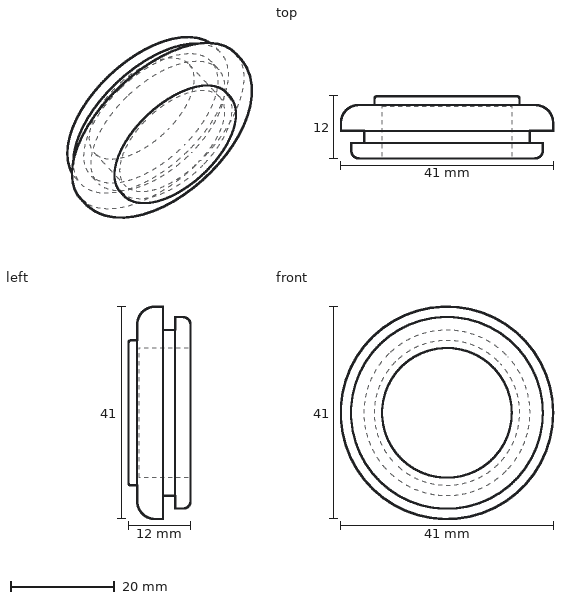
import cadquery as cq

total_depth = 12.0

lip_diameter = 37.0
lip_thickness = 3.0
lip_fillet = 1.5

groove_diameter = 32.0
groove_width = 2.35

flange_diameter = 41.0
flange_thickness = 5.0
flange_fillet = 3.5

boss_diameter = 28.0
boss_height = total_depth - lip_thickness - groove_width - flange_thickness
boss_fillet = 0.5

bore_diameter = 25.0
bore_depth = 10.0


def disc(diameter, front, thickness):
    """Solid disc about the Y axis, from y = front toward +Y."""
    return cq.Workplane("XZ", origin=(0, front, 0)).circle(diameter / 2).extrude(-thickness)


lip_front = -total_depth / 2
groove_front = lip_front + lip_thickness
flange_front = groove_front + groove_width
boss_front = flange_front + flange_thickness

lip = disc(lip_diameter, lip_front, lip_thickness).faces("<Y").edges().fillet(lip_fillet)
groove = disc(groove_diameter, groove_front, groove_width)
flange = disc(flange_diameter, flange_front, flange_thickness).faces(">Y").edges().fillet(flange_fillet)
boss = disc(boss_diameter, boss_front, boss_height).faces(">Y").edges().fillet(boss_fillet)

bore = disc(bore_diameter, lip_front, bore_depth)

result = lip.union(groove).union(flange).union(boss).cut(bore)